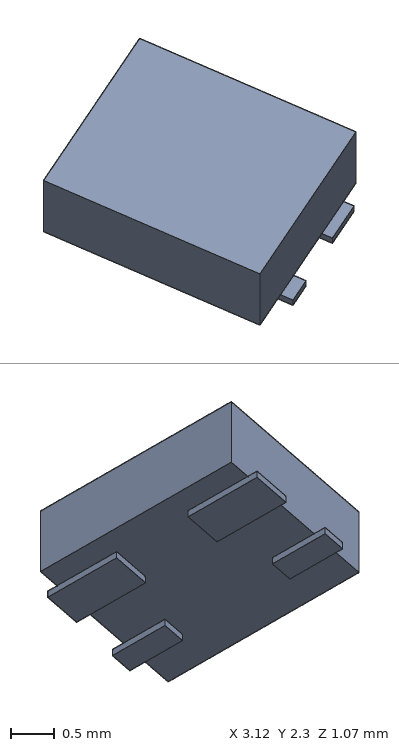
import cadquery as cq

overall_length = 3.12
overall_height = 1.07
lead_thickness = 0.1

housing_length = 2.8
housing_width = 2.3
housing_height = overall_height - lead_thickness

wide_lead_span = 3.07
wide_lead_gap = 1.048
wide_lead_width = 0.52
wide_lead_y = 0.593

narrow_lead_span = overall_length
narrow_lead_gap = 1.575
narrow_lead_width = 0.315
narrow_lead_y = -0.5


def make_housing():
    """Plain block centred on the Z axis, with its underside on the leads."""
    return (
        cq.Workplane("XY")
        .workplane(offset=lead_thickness)
        .rect(housing_length, housing_width)
        .extrude(housing_height)
    )


def make_lead(side, span, gap, width, y_centre):
    """Flat lead under the housing; side is -1 for -X and 1 for +X."""
    length = (span - gap) / 2
    x_centre = side * (span + gap) / 4
    return (
        cq.Workplane("XY")
        .center(x_centre, y_centre)
        .rect(length, width)
        .extrude(lead_thickness)
    )


housing = make_housing()

wide_leads = []
narrow_leads = []
for side in (-1, 1):
    wide_leads.append(
        make_lead(side, wide_lead_span, wide_lead_gap, wide_lead_width, wide_lead_y)
    )
    narrow_leads.append(
        make_lead(side, narrow_lead_span, narrow_lead_gap, narrow_lead_width, narrow_lead_y)
    )

leads = wide_leads + narrow_leads
result = cq.Compound.makeCompound([housing.val(), *[lead.val() for lead in leads]])